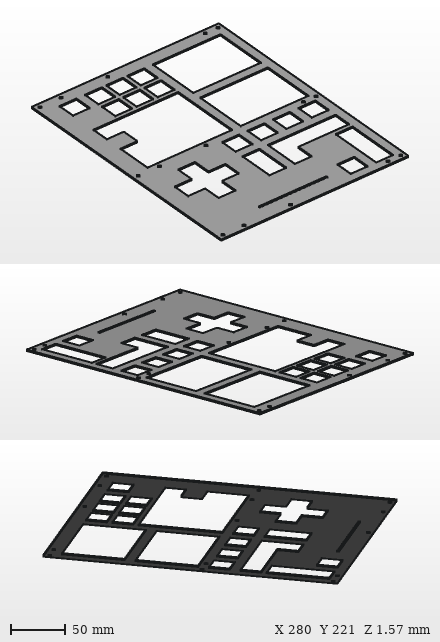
import cadquery as cq

length = 280.0
height = 221.0
thickness = 1.57

steps_along_length = 56
step = length / steps_along_length
key = 4

hole_diameter = 3.0
slot_width = 2.0


def grid_point(column, row):
    """Plate position of a grid point; rows are counted downwards."""
    return (column * step - length / 2, height / 2 - row * step)


def through_cut(outline):
    """Cutter through the plate from a closed outline of (column, row) points."""
    points = [grid_point(column, row) for column, row in outline]
    return cq.Workplane("XY").polyline(points).close().extrude(thickness)


def window(column, row, columns, rows):
    """Rectangular cutter with its top left corner at the given grid point."""
    right = column + columns
    bottom = row + rows
    return through_cut([(column, row), (right, row), (right, bottom), (column, bottom)])


plate = cq.Workplane("XY").box(length, height, thickness, centered=(True, True, False))

number_pad = [(column, row) for row in (20, 25, 30) for column in (3, 8)]
single_column = [(31, row) for row in (2, 8, 14, 20)]
lone_keys = [(3, 36), (50, 8)]
for column, row in number_pad + single_column + lone_keys:
    plate = plate.cut(window(column, row, key, key))

wide_windows = [
    (3, 2, 12, 16),
    (17, 2, 12, 16),
    (42, 2, 12, key),
    (37, 20, 8, key),
]
for column, row, columns, rows in wide_windows:
    plate = plate.cut(window(column, row, columns, rows))

large_window = window(13, 20, 16, 20).cut(window(17, 36, key, key))
plate = plate.cut(large_window)

upright = window(37, 2, key, 16)
foot = window(37, 14, 2 * key, key)
plate = plate.cut(upright.union(foot))

cross_bar = window(33, 32, 3 * key, key)
cross_post = window(37, 28, key, 3 * key)
plate = plate.cut(cross_bar.union(cross_post))

slot_column = 52
slot_top_row = 16
slot_rows = 16
slot_columns = slot_width / step
plate = plate.cut(window(slot_column - slot_columns / 2, slot_top_row, slot_columns, slot_rows))

screw_points = [grid_point(column, row) for column in (1, 30, 55) for row in (1, 4, 27, 38, 43)]
screws = cq.Workplane("XY").pushPoints(screw_points).circle(hole_diameter / 2).extrude(thickness)
result = plate.cut(screws)